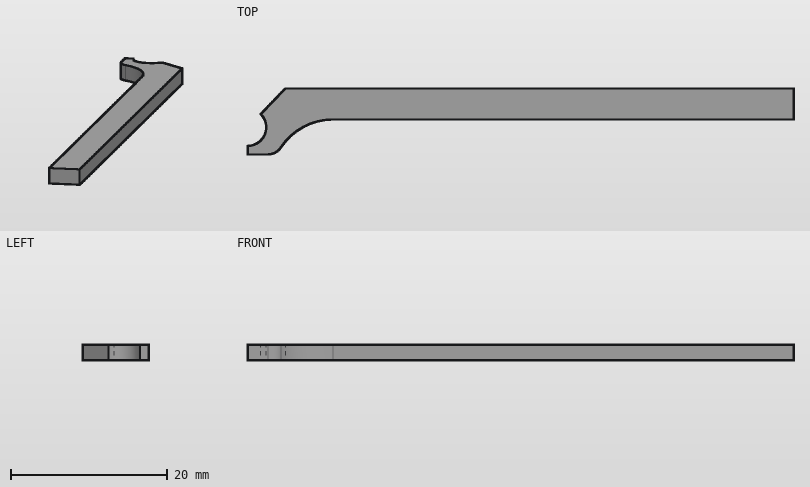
import cadquery as cq
import math

length = 70.0
width = 8.5
thickness = 2.0

arm_width = 4.0
arm_bottom = width - arm_width

slant_top_x = 4.8
slant_tip_x = 1.7

bite_radius = 2.4
bite_center_y = 3.5
bite_tip_y = bite_center_y + math.sqrt(bite_radius**2 - slant_tip_x**2)
bite_bottom_y = bite_center_y - bite_radius

toe_flat = 2.6
toe_radius = 2.0
neck_radius = 8.0
radius_sum = toe_radius + neck_radius
sweep = math.acos((radius_sum - arm_bottom) / radius_sum)
neck_end_x = toe_flat + radius_sum * math.sin(sweep)


def toe_point(angle):
    """Point on the toe arc, turned by angle from the flat bottom."""
    return (toe_flat + toe_radius * math.sin(angle), toe_radius * (1 - math.cos(angle)))


def neck_point(angle):
    """Point on the neck arc, turned back by angle from the arm's lower edge."""
    return (
        neck_end_x - neck_radius * math.sin(angle),
        arm_bottom - neck_radius * (1 - math.cos(angle)),
    )


result = (
    cq.Workplane("XY")
    .moveTo(0, 0)
    .lineTo(toe_flat, 0)
    .threePointArc(toe_point(sweep / 2), toe_point(sweep))
    .threePointArc(neck_point(sweep / 2), (neck_end_x, arm_bottom))
    .lineTo(length, arm_bottom)
    .lineTo(length, width)
    .lineTo(slant_top_x, width)
    .lineTo(slant_tip_x, bite_tip_y)
    .threePointArc((bite_radius, bite_center_y), (0, bite_bottom_y))
    .close()
    .extrude(thickness)
)